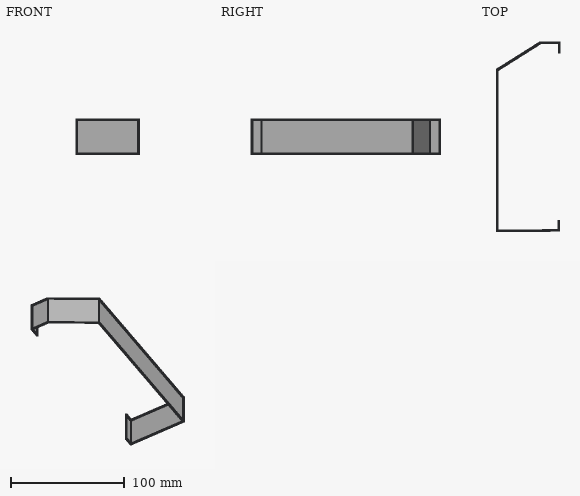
import cadquery as cq

width = 54.8
length = 166.2
height = 30.0

thickness = 0.5
slant_run = 38.2
slant_rise = 24.1
lip_length = 9.0
front_end_x = 54.3
front_end_rise = 0.5

outer_face = [
    (front_end_x, lip_length),
    (front_end_x, front_end_rise),
    (0, 0),
    (0, length - slant_rise),
    (slant_run, length),
    (width, length),
    (width, length - lip_length),
]


def strip_outline(points, wall):
    """Closed outline of a strip lying to the right of an open path, with mitred corners."""
    edges = list(zip(points, points[1:]))
    normals = []
    for (x0, y0), (x1, y1) in edges:
        run = cq.Vector(x1 - x0, y1 - y0).normalized()
        normals.append(cq.Vector(run.y, -run.x))
    normals = [normals[0]] + normals + [normals[-1]]
    inner_face = []
    for (x, y), before, after in zip(points, normals, normals[1:]):
        mitre = (before + after) * (wall / (1 + before.dot(after)))
        inner_face.append((x + mitre.x, y + mitre.y))
    return points + inner_face[::-1]


result = cq.Workplane("XY").polyline(strip_outline(outer_face, thickness)).close().extrude(height)